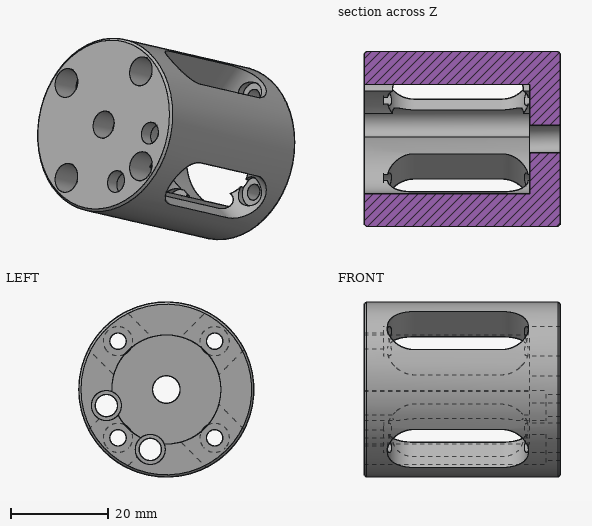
import cadquery as cq
import math

length = 40.3
body_diameter = 36.0
edge_chamfer = 0.5
left_end = -length / 2

bore_diameter = 22.4
end_wall = 6.33
bore_depth = length - end_wall
shaft_hole_diameter = 5.6

screw_circle_radius = 14.02
screw_hole_diameter = 3.3
screw_head_diameter = 6.0
screw_seat_depth = 4.0

channel_circle_radius = 12.75
channel_diameter = 6.15
channel_floor = 3.0
channel_depth = length - channel_floor
channel_outlet_diameter = 4.5
channel_angles = (-15, -75)

window_width = 11.0
window_straight = 18.0
window_start = 4.75
diagonal_angles = (45, 135, 225, 315)


def rod(diameter, start, end, radius=0, angle=0):
    """Rod along X between two distances from the -X end; angle runs from +Y towards +Z."""
    y = radius * math.cos(math.radians(angle))
    z = radius * math.sin(math.radians(angle))
    return (
        cq.Workplane("YZ", origin=(left_end + start, 0, 0))
        .center(y, z)
        .circle(diameter / 2)
        .extrude(end - start)
    )


def window_cutter(angle):
    """Radial slot with round ends, running outward from the axis."""
    slot_length = window_straight + window_width
    return (
        cq.Workplane("XY", origin=(left_end + window_start + slot_length / 2, 0, 0))
        .slot2D(slot_length, window_width)
        .extrude(body_diameter)
        .rotate((0, 0, 0), (1, 0, 0), angle - 90)
    )


body = rod(body_diameter, 0, length).faces("<X or >X").chamfer(edge_chamfer)

body = body.cut(rod(bore_diameter, 0, bore_depth))
body = body.cut(rod(shaft_hole_diameter, 0, length))

for angle in channel_angles:
    body = body.cut(rod(channel_diameter, 0, channel_depth, channel_circle_radius, angle))
    body = body.cut(rod(channel_outlet_diameter, 0, length, channel_circle_radius, angle))

for angle in diagonal_angles:
    body = body.cut(window_cutter(angle))
    body = body.cut(rod(screw_hole_diameter, 0, length, screw_circle_radius, angle))
    body = body.cut(rod(screw_head_diameter, screw_seat_depth, length, screw_circle_radius, angle))

result = body